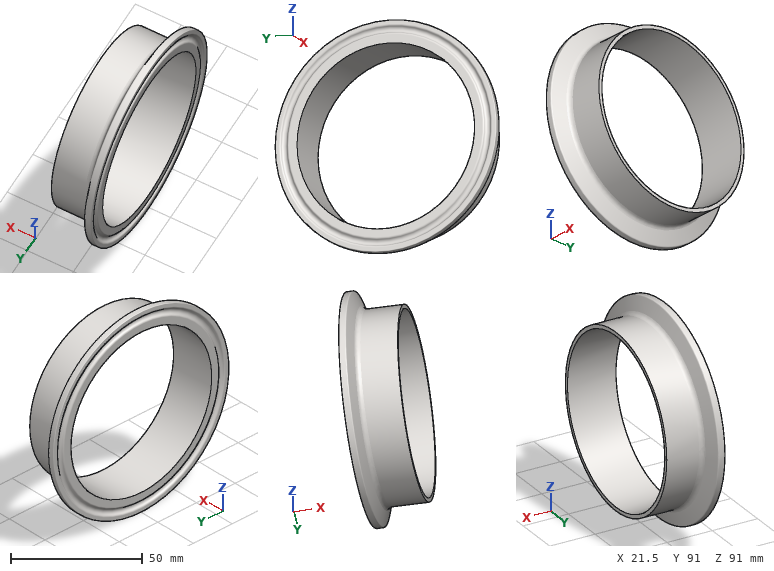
import cadquery as cq
import math

length = 21.5
flange_radius = 45.5
tube_radius = 38.0
bore_radius = 36.4

face_edge_round = 0.3
back_edge_round = 0.6
back_slope = math.radians(20)
rim_width = 2.9
neck_round = 2.1

groove_center_radius = 41.8
groove_bottom_round = 1.5
groove_lip_round = 0.9
groove_wall_angle = math.radians(60)

slope_run = (flange_radius - tube_radius) * math.tan(back_slope)


def ring(points):
    """Revolve an (X, radius) outline about the X axis."""
    return cq.Workplane("XY").polyline(points).close().revolve(360, (0, 0, 0), (1, 0, 0))


def ferrule_body():
    body = ring([
        (0, bore_radius),
        (0, flange_radius),
        (rim_width, flange_radius),
        (rim_width + slope_run, tube_radius),
        (length, tube_radius),
        (length, bore_radius),
    ])

    def round_circle(solid, x, radius, size):
        reach = 0.1
        box = cq.selectors.BoxSelector(
            (x - reach, -radius - reach, -radius - reach),
            (x + reach, radius + reach, radius + reach),
            boundingbox=True,
        )
        circle = solid.edges("%CIRCLE").edges(box).edges(cq.selectors.RadiusNthSelector(-1))
        return circle.fillet(size)

    body = round_circle(body, rim_width + slope_run, tube_radius, neck_round)
    body = round_circle(body, rim_width, flange_radius, back_edge_round)
    return round_circle(body, 0, flange_radius, face_edge_round)


def gasket_groove():
    sine = math.sin(groove_wall_angle)
    cosine = math.cos(groove_wall_angle)
    half_sine = math.sin(groove_wall_angle / 2)
    half_cosine = math.cos(groove_wall_angle / 2)

    depth = (groove_bottom_round + groove_lip_round) * (1 - cosine)
    half_width = (groove_bottom_round + groove_lip_round) * sine
    lip_depth = groove_lip_round * (1 - cosine)
    lip_middle_depth = groove_lip_round * (1 - half_cosine)
    lip_middle = half_width - groove_lip_round * half_sine
    bottom_half_width = groove_bottom_round * sine

    def at(x, offset):
        return (x, groove_center_radius + offset)

    outline = (
        cq.Workplane("XY")
        .moveTo(*at(0, -half_width))
        .threePointArc(at(lip_middle_depth, -lip_middle), at(lip_depth, -bottom_half_width))
        .threePointArc(at(depth, 0), at(lip_depth, bottom_half_width))
        .threePointArc(at(lip_middle_depth, lip_middle), at(0, half_width))
        .close()
    )
    return outline.revolve(360, (0, 0, 0), (1, 0, 0))


result = ferrule_body().cut(gasket_groove())